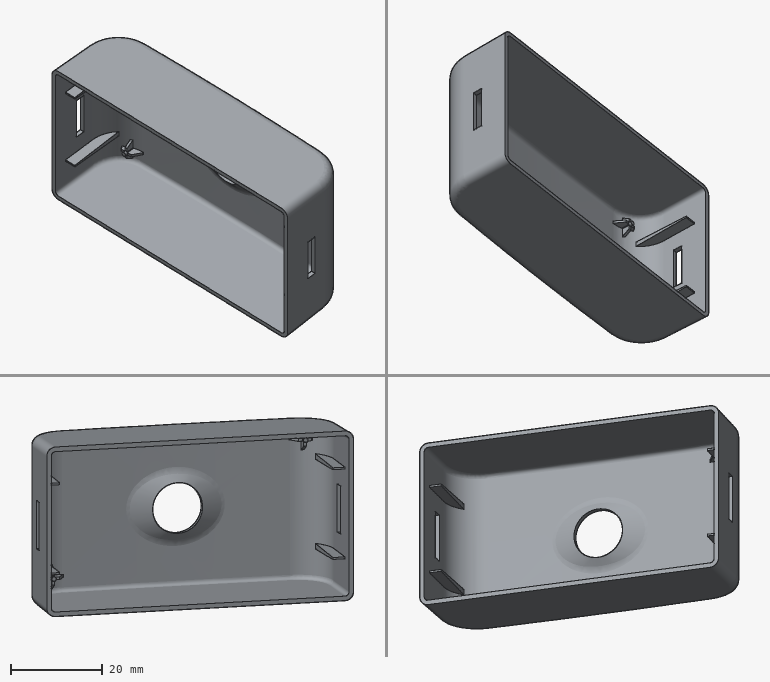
import cadquery as cq
import math

width = 70.0
height = 38.0
depth = 21.1
wall = 1.05
draft_angle = 1.0
back_crown = 0.6
corner_radius = 9.0
edge_radius = 2.0
draft_slope = math.tan(math.radians(draft_angle))

hole_diameter = 11.35
funnel_width = 22.1
funnel_height = 16.1
funnel_rise = 1.7
funnel_fillet = 2.5
bore_length = 1.25
funnel_embed = 1.4

slot_length = 10.8
slot_near = 6.8
slot_far = 9.1

rib_spacing = 20.1
rib_inner_x = 31.15
rib_front = 3.2
rib_front_thickness = 0.4
rib_root_thickness = 1.4

post_x = 28.7
post_z = 14.0
post_height = 2.8
arm_thickness = 0.6
arm_top_length = 2.95
arm_root_length = 6.45
pin_diameter = 1.05
pin_height = 0.7

floor_y = depth - wall


def rounded_block(inset):
    """Drafted block with a crowned, rounded back, inset from the outer skin."""
    half_width = width / 2 - inset
    half_height = height / 2 - inset
    back = depth - inset
    back_edge = back - back_crown
    narrowing = draft_slope * back_edge
    plan = (
        cq.Workplane("XY")
        .moveTo(-half_width, 0)
        .lineTo(half_width, 0)
        .lineTo(half_width - narrowing, back_edge)
        .threePointArc((0, back), (narrowing - half_width, back_edge))
        .close()
        .extrude(half_height, both=True)
        .edges("|Z")
        .edges(">Y")
        .fillet(corner_radius - inset)
    )
    back_half_height = half_height - draft_slope * depth
    side = (
        cq.Workplane("YZ")
        .polyline([
            (0, -half_height),
            (0, half_height),
            (depth, back_half_height),
            (depth, -back_half_height),
        ])
        .close()
        .extrude(half_width, both=True)
    )
    block = plan.intersect(side)
    return block.faces(">Z or <Z").edges("not <Y").fillet(edge_radius - inset)


def funnel(base_y):
    """Tapered plug, elliptical at base_y, narrowing to the round opening on the rim side."""
    stretch = 1 + funnel_embed / funnel_rise
    root_width = hole_diameter + (funnel_width - hole_diameter) * stretch
    root_height = hole_diameter + (funnel_height - hole_diameter) * stretch
    return (
        cq.Workplane("XZ", origin=(0, base_y + funnel_embed, 0))
        .ellipse(root_width / 2, root_height / 2)
        .workplane(offset=funnel_rise + funnel_embed)
        .circle(hole_diameter / 2)
        .loft(combine=True)
    )


def rib(side, z):
    """Rib on one end wall, thin at the front and thicker towards the floor."""
    outer_x = (width - wall) / 2
    return (
        cq.Workplane("YZ", origin=(side * rib_inner_x, 0, z))
        .polyline([
            (rib_front, -rib_front_thickness / 2),
            (rib_front, rib_front_thickness / 2),
            (floor_y, rib_root_thickness / 2),
            (floor_y, -rib_root_thickness / 2),
        ])
        .close()
        .extrude(side * (outer_x - rib_inner_x))
    )


def cross_post(x, z):
    """Two crossed, gusseted arms with a locating pin at the middle."""
    top_y = floor_y - post_height
    arm = (
        cq.Workplane("XY")
        .polyline([
            (-arm_top_length / 2, top_y),
            (arm_top_length / 2, top_y),
            (arm_root_length / 2, floor_y),
            (-arm_root_length / 2, floor_y),
        ])
        .close()
        .extrude(arm_thickness / 2, both=True)
    )
    crossing_arm = arm.rotate((0, 0, 0), (0, 1, 0), 90)
    pin = (
        cq.Workplane("XZ", origin=(0, floor_y, 0))
        .circle(pin_diameter / 2)
        .extrude(post_height + pin_height)
    )
    return arm.union(crossing_arm).union(pin).translate((x, 0, z))


outer = rounded_block(0)
funnel_zone = cq.selectors.BoxSelector(
    (-funnel_width, floor_y - back_crown, -funnel_height),
    (funnel_width, floor_y + back_crown, funnel_height),
    boundingbox=True,
)
cavity = rounded_block(wall).cut(funnel(floor_y))
cavity = cavity.edges(funnel_zone).fillet(funnel_fillet)
shell = outer.cut(cavity)

hole = cq.Workplane("XZ").circle(hole_diameter / 2).extrude(-depth)
shell = shell.cut(funnel(floor_y + bore_length)).cut(hole)

for side in (-1, 1):
    for z in (-rib_spacing / 2, rib_spacing / 2):
        shell = shell.union(rib(side, z).intersect(outer))
    post = cross_post(side * post_x, side * post_z)
    shell = shell.union(post.intersect(outer))

slot = cq.Workplane("XY").box(width, slot_far - slot_near, slot_length)
shell = shell.cut(slot.translate((0, (slot_near + slot_far) / 2, 0)))
result = cq.Workplane(shell.solids().val())